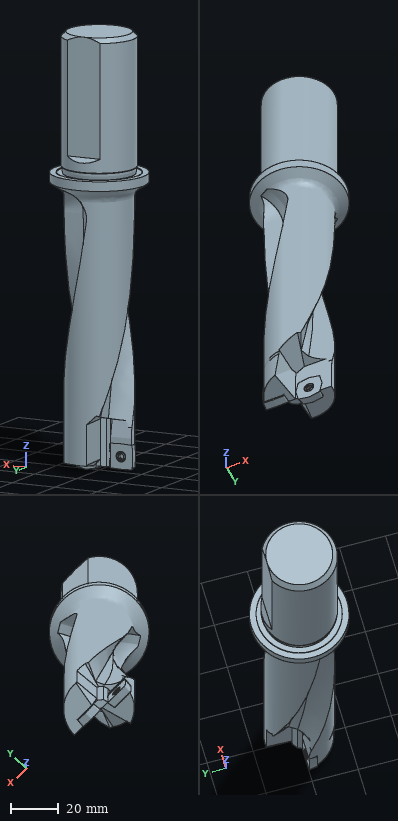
import cadquery as cq
import math


shank_radius = 32.0 / 2
shank_length = 60.0
shank_end_chamfer = 2.0
neck_radius = 31.29 / 2
neck_height = 2.3
neck_relief_height = 1.1
neck_relief_depth = 0.3
flat_offset = 14.0
flat_bottom = 6.6

flange_radius = 41.74 / 2
flange_thickness = 4.1
flange_recess_radius = 18.0
flange_recess_depth = 0.4
cone_bottom = -8.0
cone_fillet = 4.0

body_radius = 14.9
total_length = 187.28
tip_z = shank_length - total_length
body_end_z = -125.5
end_relief_angle = 10.0

clear = 3 * body_radius
end_margin = 1.0
select_margin = 0.1

head_top = -110.0
head_step = 1.0
head_shift = (-0.2, 0.5)

flute_floor = 5.8
flute_floor_start = -0.7
flute_floor_end = 3.4
flute_half_width = 9.2
flute_rim = 11.8
flute_wall_middle = (8.3, -5.8)
flute_outer = 16.5
flute_outer_half_width = 12.2
flute_runout_radius = 11.2
flute_top = -17.6
flute_bottom = -108.0
flute_start_angle = -59.0
twist_rate = 0.53
twist_growth = 0.0055
flute_sections = 8

pocket_top = -112.6
pocket_roof_top = -99.0
pocket_ramp_top = -105.3
pocket_ramp_depth = 1.5
pocket_roof_angle = 15.0
corner_wall_z = -109.2
corner_wall_x = -2.3
roof_end_x = 8.0
wall_bottom_x = -5.0
inner_wall_root = (-1.8, 0.0)
inner_wall_rim = (-4.9, -body_radius)
outer_wall_root = (5.3, 0.0)
outer_wall_step = (4.6, -2.1)
outer_wall_bend = (2.4, -3.7)
outer_wall_rim = (1.8, -body_radius)
outer_wall_chamfer_top = -121.8
outer_wall_chamfer_angle = 45.0

insert_thickness = 3.7
insert_clearance_angle = 7.0
insert_corner_radius = 0.6
inner_corner = 5.0
inner_peak = 6.05
inner_center = (4.46, tip_z + inner_peak)
outer_corner = 5.3
outer_peak = 5.5
outer_center = (10.2, -120.6)
insert_hole_radius = 3.4 / 2
countersink_radius = 4.5 / 2

screw_head_radius = 4.15 / 2
screw_radius = 3.0 / 2
screw_socket_radius = 2.37 / 2
screw_socket_depth = 1.2
screw_tip_depth = insert_thickness + 4.0


def half_turn(shape):
    return shape.rotate((0, 0, 0), (0, 0, 1), 180)


def turned_blank():
    profile = (
        cq.Workplane("XZ")
        .moveTo(0, tip_z)
        .lineTo(body_radius, tip_z)
        .lineTo(body_radius, cone_bottom)
        .lineTo(flange_radius, -flange_thickness)
        .lineTo(flange_radius, 0)
        .lineTo(flange_recess_radius, 0)
        .lineTo(flange_recess_radius, -flange_recess_depth)
        .lineTo(neck_radius - neck_relief_depth, -flange_recess_depth)
        .lineTo(neck_radius, neck_relief_height)
        .lineTo(neck_radius, neck_height)
        .lineTo(shank_radius, neck_height + shank_radius - neck_radius)
        .lineTo(shank_radius, shank_length - shank_end_chamfer)
        .lineTo(shank_radius - shank_end_chamfer, shank_length)
        .lineTo(0, shank_length)
        .close()
    )
    blank = profile.revolve(360, (0, 0, 0), (0, 1, 0))
    root = cq.selectors.BoxSelector(
        (-shank_radius, -shank_radius, cone_bottom - select_margin),
        (shank_radius, shank_radius, cone_bottom + select_margin),
    )
    return blank.edges(root).fillet(cone_fillet)


def shank_flat():
    """Flat along the +Y side of the shank, running out at 45 degrees at its lower end."""
    rise = shank_radius - flat_offset
    return (
        cq.Workplane("YZ")
        .moveTo(shank_radius, flat_bottom)
        .lineTo(flat_offset, flat_bottom + rise)
        .lineTo(flat_offset, shank_length)
        .lineTo(flange_radius, shank_length)
        .lineTo(flange_radius, flat_bottom)
        .close()
        .extrude(shank_radius, both=True)
    )


def flute_angle(z):
    depth = flute_top - z
    return flute_start_angle + twist_rate * depth + twist_growth * depth ** 2


def flute_plane(z):
    """Plane at height z whose x axis points out of the flute; angle 0 points to -X, 90 to +Y."""
    angle = math.radians(flute_angle(z))
    outward = (-math.cos(angle), math.sin(angle), 0)
    return cq.Plane(origin=(0, 0, z), xDir=outward, normal=(0, 0, -1))


def flute_section(z):
    rim_slope = (flute_half_width - flute_floor_end) / (flute_rim - flute_floor)
    lead_side = flute_half_width + rim_slope * (flute_outer - flute_rim)
    return (
        cq.Workplane(flute_plane(z))
        .moveTo(flute_floor, flute_floor_start)
        .lineTo(flute_floor, flute_floor_end)
        .lineTo(flute_outer, lead_side)
        .lineTo(flute_outer, -flute_outer_half_width)
        .lineTo(flute_rim, -flute_half_width)
        .threePointArc(flute_wall_middle, (flute_floor, flute_floor_start))
        .close()
    )


def flute():
    step = (flute_top - flute_bottom) / (flute_sections - 1)
    wires = [flute_section(flute_top - i * step).val() for i in range(flute_sections)]
    groove = cq.Workplane(cq.Solid.makeLoft(wires))
    pivot = flute_floor + flute_runout_radius
    runout = flute_section(flute_top).revolve(90, (pivot, 0), (pivot, -1))
    return groove, runout


def insert_pocket(wall_points):
    """Cut in front of an insert at +X that faces -Y; wall_points shape its side wall in plan."""
    front_shape = (
        cq.Workplane("XZ")
        .moveTo(wall_bottom_x, tip_z - end_margin)
        .lineTo(wall_bottom_x, body_end_z)
        .lineTo(corner_wall_x, corner_wall_z)
        .lineTo(roof_end_x, pocket_roof_top)
        .lineTo(clear, pocket_roof_top)
        .lineTo(clear, tip_z - end_margin)
        .close()
        .extrude(clear, both=True)
    )
    roof_rise = (clear + pocket_ramp_depth) * math.tan(math.radians(pocket_roof_angle))
    side_shape = (
        cq.Workplane("YZ")
        .moveTo(0, tip_z - end_margin)
        .lineTo(0, pocket_top)
        .lineTo(pocket_ramp_depth, pocket_ramp_top)
        .lineTo(-clear, pocket_ramp_top + roof_rise)
        .lineTo(-clear, tip_z - end_margin)
        .close()
        .extrude(clear, both=True)
    )
    plan = (
        cq.Workplane("XY", origin=(0, 0, tip_z - end_margin))
        .polyline(wall_points + [(clear, -body_radius), (clear, clear), (wall_points[0][0], clear)])
        .close()
        .extrude(pocket_roof_top - tip_z + end_margin)
    )
    return front_shape.intersect(side_shape).intersect(plan)


def outer_wall_chamfer():
    """Chamfer along the lower end of the outer pocket's side wall, made for an insert at +X."""
    wall_x, wall_y = outer_wall_bend
    height = outer_wall_chamfer_top - tip_z
    width = height * math.tan(math.radians(outer_wall_chamfer_angle))
    return (
        cq.Workplane("XZ", origin=(0, wall_y, 0))
        .moveTo(wall_x, outer_wall_chamfer_top)
        .lineTo(wall_x, tip_z)
        .lineTo(wall_x - width, tip_z)
        .close()
        .extrude(clear)
    )


def end_relief():
    """Material below the two end faces, which rise from the cutting plane to both sides."""
    rise = clear * math.tan(math.radians(end_relief_angle))
    return (
        cq.Workplane("YZ")
        .moveTo(0, body_end_z)
        .lineTo(clear, body_end_z + rise)
        .lineTo(clear, body_end_z - clear)
        .lineTo(-clear, body_end_z - clear)
        .lineTo(-clear, body_end_z + rise)
        .close()
        .extrude(clear, both=True)
    )


def eccentric_head(body):
    """Replace the lower end on the outer insert's side by an off-centre one with a conical step."""
    length = head_top - tip_z
    quarter = cq.Workplane("XY", origin=(0, 0, tip_z)).rect(clear, clear).extrude(length)
    quarter = quarter.translate((-clear / 2, -clear / 2, 0))
    section = cq.Workplane("XY", origin=(0, 0, tip_z)).center(*head_shift).circle(body_radius)
    head = section.extrude(length - head_step)
    step = (
        cq.Workplane("XY", origin=(0, 0, head_top))
        .circle(body_radius)
        .workplane(offset=-head_step)
        .center(*head_shift)
        .circle(body_radius)
        .loft(ruled=True)
    )
    return body.cut(quarter).union(head.union(step).intersect(quarter))


def insert_blank(corner, peak, center):
    """Four-cornered insert with peaked sides, its face in the XZ plane and its back toward +Y."""
    points = []
    for quarter_turn in range(4):
        angle = math.radians(90 * quarter_turn)
        for x, z in ((peak, 0), (corner, corner)):
            points.append((
                x * math.cos(angle) - z * math.sin(angle),
                x * math.sin(angle) + z * math.cos(angle),
            ))
    plane = cq.Plane(origin=(center[0], 0, center[1]), xDir=(-1, 0, 0), normal=(0, 1, 0))
    outline = cq.Workplane(plane).polyline(points).close()
    blank = outline.extrude(insert_thickness, taper=insert_clearance_angle)
    sides = cq.selectors.BoxSelector(
        (-clear, select_margin, tip_z - end_margin),
        (clear, insert_thickness - select_margin, 0),
    )
    return blank.edges(sides).fillet(insert_corner_radius)


def axial_turned(profile, center):
    """Solid of revolution about the screw axis from (radius, depth) points."""
    plane = cq.Plane(origin=(center[0], 0, center[1]), xDir=(1, 0, 0), normal=(0, 0, 1))
    return cq.Workplane(plane).polyline(profile).close().revolve(360, (0, 0), (0, 1))


def insert_hole(center):
    return axial_turned(
        [
            (0, 0),
            (countersink_radius, 0),
            (insert_hole_radius, countersink_radius - insert_hole_radius),
            (insert_hole_radius, insert_thickness),
            (0, insert_thickness),
        ],
        center,
    )


def screw(center):
    """Countersunk screw whose head cone rests in the insert's countersink."""
    head_depth = countersink_radius - screw_head_radius
    cone_end = countersink_radius - screw_radius
    return axial_turned(
        [
            (0, head_depth + screw_socket_depth),
            (screw_socket_radius, head_depth + screw_socket_depth),
            (screw_socket_radius, head_depth),
            (screw_head_radius, head_depth),
            (screw_radius, cone_end),
            (screw_radius, screw_tip_depth),
            (0, screw_tip_depth),
        ],
        center,
    )


def screw_hole(center):
    return axial_turned(
        [(0, 0), (screw_radius, 0), (screw_radius, screw_tip_depth), (0, screw_tip_depth)],
        center,
    )


inner_blank = insert_blank(inner_corner, inner_peak, inner_center)
outer_blank = insert_blank(outer_corner, outer_peak, outer_center)
inner_insert = inner_blank.cut(insert_hole(inner_center))
outer_insert = half_turn(outer_blank.cut(insert_hole(outer_center)))
inner_screw = screw(inner_center)
outer_screw = half_turn(screw(outer_center))

drill = turned_blank().cut(shank_flat())
drill = eccentric_head(drill)
for cutter in flute():
    drill = drill.cut(cutter).cut(half_turn(cutter))
drill = drill.cut(insert_pocket([inner_wall_root, inner_wall_rim]))
outer_wall = [outer_wall_root, outer_wall_step, outer_wall_bend, outer_wall_rim]
drill = drill.cut(half_turn(insert_pocket(outer_wall)))
drill = drill.cut(half_turn(outer_wall_chamfer()))
drill = drill.cut(end_relief())
drill = drill.cut(inner_blank).cut(half_turn(outer_blank))
drill = drill.cut(screw_hole(inner_center)).cut(half_turn(screw_hole(outer_center)))

result = cq.Compound.makeCompound([
    drill.val(),
    inner_insert.val(),
    outer_insert.val(),
    inner_screw.val(),
    outer_screw.val(),
])